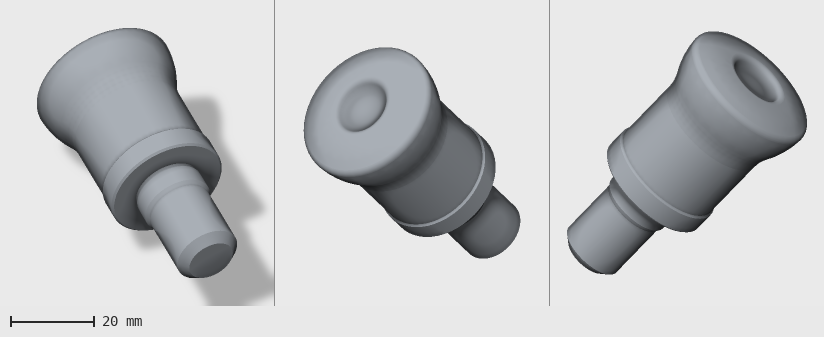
import cadquery as cq
import math


dish_floor_radius = 4.0
dish_edge_radius = 6.55
crown_start_radius = 8.1
rim_inner_radius = 16.5
rim_inner_x = 1.95
head_radius = 17.5
rim_outer_x = 3.6
waist_start_x = 11.95
grip_start_x = 17.3
grip_radius = 28.0 / 2
dish_wall_angle = math.radians(60)

collar_start_x = 34.0
collar_end_x = 39.95
collar_radius = 29.0 / 2
collar_chamfer = collar_radius - grip_radius
neck_radius = 8.25
neck_end_x = 40.55
shoulder_radius = 17.0 / 2
shoulder_start_x = 41.2
shoulder_end_x = 45.9
shank_radius = 15.7 / 2
shank_start_x = 47.05
shank_end_x = 65.0
tip_chamfer = 2.15


def revolve_about_x(profile):
    return profile.close().revolve(360, (0, 0, 0), (1, 0, 0))


def make_knob():
    half_turn = math.tan(dish_wall_angle / 2)
    dish_edge_x = (crown_start_radius - dish_edge_radius) * half_turn
    dish_floor_x = dish_edge_x + (dish_edge_radius - dish_floor_radius) * half_turn

    waist_share = (waist_start_x - rim_outer_x) / (grip_start_x - rim_outer_x)
    waist_start_radius = head_radius - (head_radius - grip_radius) * waist_share

    profile = (
        cq.Workplane("XY")
        .moveTo(dish_floor_x, 0)
        .lineTo(dish_floor_x, dish_floor_radius)
        .tangentArcPoint((dish_edge_x, dish_edge_radius), relative=False)
        .tangentArcPoint((0, crown_start_radius), relative=False)
        .tangentArcPoint((rim_inner_x, rim_inner_radius), relative=False)
        .tangentArcPoint((rim_outer_x, head_radius), relative=False)
        .tangentArcPoint((waist_start_x, waist_start_radius), relative=False)
        .tangentArcPoint((grip_start_x, grip_radius), relative=False)
        .lineTo(collar_start_x, grip_radius)
        .lineTo(collar_start_x, 0)
    )
    return revolve_about_x(profile)


def make_stud():
    profile = (
        cq.Workplane("XY")
        .moveTo(collar_start_x, 0)
        .lineTo(collar_start_x, collar_radius - collar_chamfer)
        .lineTo(collar_start_x + collar_chamfer, collar_radius)
        .lineTo(collar_end_x - collar_chamfer, collar_radius)
        .lineTo(collar_end_x, collar_radius - collar_chamfer)
        .lineTo(collar_end_x, neck_radius)
        .lineTo(neck_end_x, neck_radius)
        .lineTo(shoulder_start_x, shoulder_radius)
        .lineTo(shoulder_end_x, shoulder_radius)
        .lineTo(shank_start_x, shank_radius)
        .lineTo(shank_end_x - tip_chamfer, shank_radius)
        .lineTo(shank_end_x, shank_radius - tip_chamfer)
        .lineTo(shank_end_x, 0)
    )
    return revolve_about_x(profile)


knob = make_knob()
stud = make_stud()
result = cq.Compound.makeCompound([knob.val(), stud.val()])